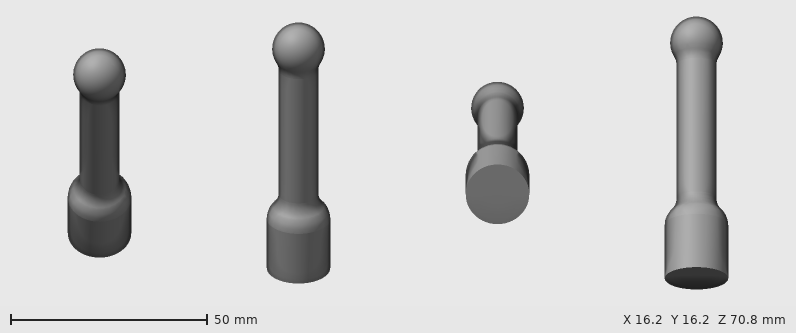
import cadquery as cq
import math

total_height = 70.75
base_radius = 16.2 / 2
base_height = 14.5
stem_radius = 10.2 / 2
ball_radius = 6.7
blend_radius = 5.1

shoulder_angle = math.acos(1 - (base_radius - stem_radius) / (2 * blend_radius))
arc_rise = blend_radius * math.sin(shoulder_angle)
shoulder_mid_radius = (base_radius + stem_radius) / 2
shoulder_mid_height = base_height + arc_rise
stem_bottom = base_height + 2 * arc_rise

ball_center = total_height - ball_radius
neck_center_radius = stem_radius + blend_radius
center_distance = ball_radius + blend_radius
stem_top = ball_center - math.sqrt(center_distance**2 - neck_center_radius**2)
ball_share = ball_radius / center_distance
neck_end_radius = neck_center_radius * ball_share
neck_end_height = ball_center - (ball_center - stem_top) * ball_share

profile = (
    cq.Workplane("XZ")
    .lineTo(base_radius, 0)
    .lineTo(base_radius, base_height)
    .tangentArcPoint((shoulder_mid_radius, shoulder_mid_height), relative=False)
    .tangentArcPoint((stem_radius, stem_bottom), relative=False)
    .lineTo(stem_radius, stem_top)
    .tangentArcPoint((neck_end_radius, neck_end_height), relative=False)
    .threePointArc((ball_radius, ball_center), (0, total_height))
    .close()
)

result = profile.revolve(360, (0, 0, 0), (0, 1, 0))